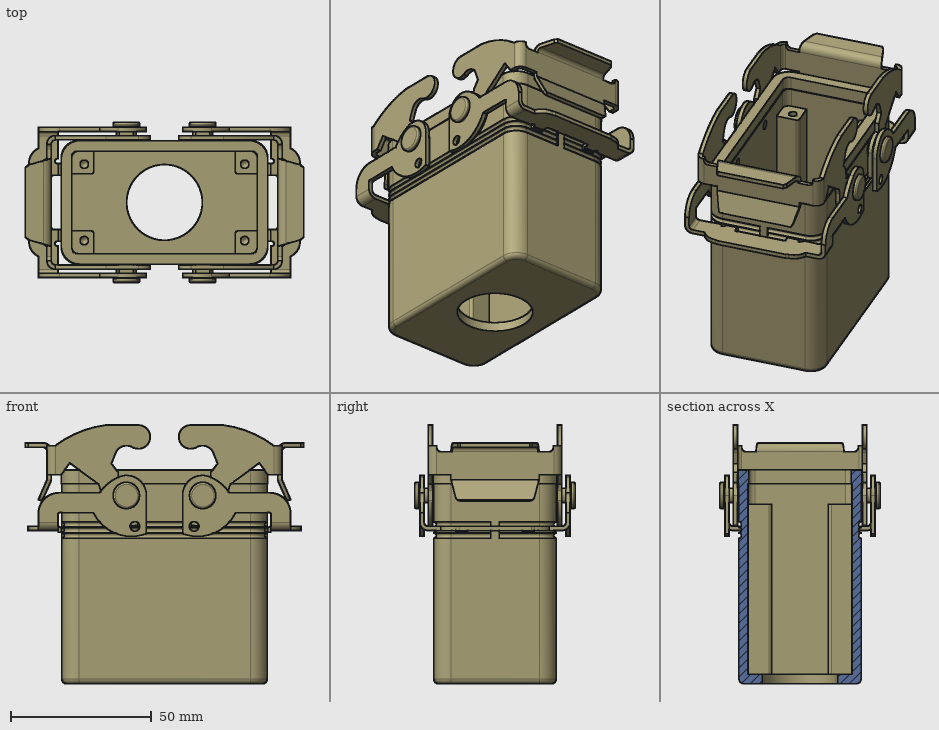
import cadquery as cq
BODY_LENGTH = 73.0
BODY_WIDTH = 43.5
BODY_CORNER = 6.0
BOTTOM_FILLET = 1.8
HOUSING_HEIGHT = 76.0
RIM_HEIGHT = 4.9
RIM_STEP = 0.2
CAVITY_LENGTH = 65.8
CAVITY_WIDTH = 36.3
CAVITY_CORNER = 2.2
CAVITY_STEP = 0.3
FLOOR = 3.5
CABLE_HOLE_DIAMETER = 26.8

POST_TOP = 63.8
POST_INNER_X = 25.1
POST_INNER_Y = 10.1
POST_CORNER = 1.0
POST_OVERLAP = 1.0
SCREW_X = 28.5
SCREW_Y = 13.6
SCREW_DIAMETER = 3.0
SCREW_DEPTH = 11.9
SCREW_TIP = 0.9

GROOVE_TOP = 57.6
GROOVE_COUNT = 3
GROOVE_PITCH = 2.0
GROOVE_RADIUS = 0.9
GROOVE_RIB_WIDTH = 2.9

SHEET = 1.6
BEND = 3.0
PIN_X = 13.6
PIN_Z = 66.9
PIN_DIAMETER = 3.2
SHANK_WIDTH = 7.1
SHANK_HEIGHT = 5.1
HEAD_DIAMETER = 9.4
HEAD_HEIGHT = 1.5
HEAD_FILLET = 0.7
HEAD_Y = 28.5

CLIP_Y = 23.8
CLIP_X = 41.8
CLIP_BOTTOM = 74.2
CLIP_SHOULDER = 84.6
CLIP_EDGE = 82.4
CLIP_TOP = 91.9
HOOK_TIP_X = 9.3
HOOK_TIP_RADIUS = 4.3
HOOK_SLOPE_END_X = 20.9
NECK_X = 16.4
FOOT_INNER_X = 9.5
FOOT_OUTER_X = 22.7
FOOT_BOTTOM = 56.4
SCOOP_HALF_WIDTH = 20.7
SCOOP_CORNER = 1.6

TONGUE_TIP_X = 49.5
TONGUE_TOP = 85.6
TONGUE_HALF_WIDTH = 15.6
TONGUE_CORNER_X = 48.4
TONGUE_CORNER_Y = 13.3
TONGUE_TIP_HALF_WIDTH = 12.4
LOWER_TONGUE_FOLD = 72.5
LOWER_TONGUE_TIP_X = 44.8
LOWER_TONGUE_TIP_HALF_WIDTH = 13.7
LOWER_TONGUE_BOTTOM = 64.9
LOWER_TONGUE_CORNER = 2.0

LEVER_Y = 26.7
LEVER_ARM_X = 44.8
LEVER_ARM_INNER_X = 37.8
LEVER_BOTTOM = 54.4
LEVER_ARM_TOP = 67.9
LEVER_ARM_UNDERSIDE = 60.8
LEVER_ARM_RADIUS = 7.4
LEVER_INNER_CORNER = 0.5
LEVER_EDGE_X = 6.4
LEVER_SHOULDER_X = 23.1
LEVER_HEEL_X = 25.2
LEVER_EDGE_BOTTOM = 53.3
LEVER_EYE_RADIUS = PIN_X - LEVER_EDGE_X
LEVER_HOLE_X = 10.5
LEVER_HOLE_Z = 55.9
LEVER_HOLE_DIAMETER = 3.4

HANDLE_TIP_X = 48.5
HANDLE_TIP_HALF_WIDTH = 12.9
HANDLE_BULGE_HALF_WIDTH = 19.2
HANDLE_SLOT_X = 40.2
HANDLE_SLOT_HALF_WIDTH = 9.6
HANDLE_SLOT_CORNER = 0.8
TAB_TIP_X = 36.6
TAB_WIDTH = 4.3
TAB_DROP = 0.6
RELIEF_DIAMETER = 1.6
RELIEF_X = 37.3


def rounded_block(length, width, bottom, top, corner):
    """Upright block centred on the Z axis, with rounded vertical edges."""
    block = cq.Workplane("XY").workplane(offset=bottom).rect(length, width).extrude(top - bottom)
    return block.edges("|Z").fillet(corner)


def across(outline, half_width):
    """Extrude an XZ outline equally to both sides of the XZ plane."""
    return outline.extrude(half_width, both=True)


def box(x0, x1, y0, y1, z0, z1):
    """Box between two positions along each axis."""
    return cq.Workplane("XY").box(x1 - x0, y1 - y0, z1 - z0, centered=False).translate((x0, y0, z0))


def make_seal_grooves():
    """Half-round grooves round the body, interrupted by a plain rib in the middle of each end."""
    grooves = cq.Workplane("XY")
    for index in range(GROOVE_COUNT):
        height = GROOVE_TOP - (index + 0.5) * GROOVE_PITCH
        path = rounded_block(BODY_LENGTH, BODY_WIDTH, height, HOUSING_HEIGHT, BODY_CORNER)
        path = path.faces("<Z").wires()
        section = cq.Workplane("YZ", origin=(0, BODY_WIDTH / 2, height)).circle(GROOVE_RADIUS)
        grooves = grooves.union(section.sweep(path))
    rib = box(-BODY_LENGTH, BODY_LENGTH, -GROOVE_RIB_WIDTH / 2, GROOVE_RIB_WIDTH / 2, 0, HOUSING_HEIGHT)
    return grooves.cut(rib)


def make_posts():
    """Screw posts in the four corners of the cavity."""
    posts = cq.Workplane("XY")
    for side_x in (-1, 1):
        for side_y in (-1, 1):
            length = CAVITY_LENGTH / 2 + POST_OVERLAP - POST_INNER_X
            width = CAVITY_WIDTH / 2 + POST_OVERLAP - POST_INNER_Y
            inner_corner = (side_x * POST_INNER_X, side_y * POST_INNER_Y, POST_TOP / 2)
            post = (
                cq.Workplane("XY")
                .center(side_x * (POST_INNER_X + length / 2), side_y * (POST_INNER_Y + width / 2))
                .rect(length, width)
                .extrude(POST_TOP)
                .edges(cq.NearestToPointSelector(inner_corner))
                .fillet(POST_CORNER)
            )
            posts = posts.union(post)
    return posts


def make_screw_holes():
    """Blind holes with conical tips in the posts."""
    bottom = POST_TOP - SCREW_DEPTH
    profile = (
        cq.Workplane("XZ")
        .polyline([
            (0, POST_TOP),
            (SCREW_DIAMETER / 2, POST_TOP),
            (SCREW_DIAMETER / 2, bottom),
            (0, bottom - SCREW_TIP),
        ])
        .close()
        .revolve(360, (0, 0, 0), (0, 1, 0))
    )
    holes = cq.Workplane("XY")
    for x in (-SCREW_X, SCREW_X):
        for y in (-SCREW_Y, SCREW_Y):
            holes = holes.union(profile.translate((x, y, 0)))
    return holes


def make_housing():
    rim_bottom = HOUSING_HEIGHT - RIM_HEIGHT
    body = rounded_block(BODY_LENGTH, BODY_WIDTH, 0, rim_bottom, BODY_CORNER)
    body = body.faces("<Z").edges().fillet(BOTTOM_FILLET)
    rim = rounded_block(BODY_LENGTH + 2 * RIM_STEP, BODY_WIDTH + 2 * RIM_STEP,
                        rim_bottom, HOUSING_HEIGHT, BODY_CORNER + RIM_STEP)
    outside = body.cut(make_seal_grooves()).union(rim)

    mouth = rounded_block(CAVITY_LENGTH, CAVITY_WIDTH, FLOOR, HOUSING_HEIGHT, CAVITY_CORNER)
    cavity = rounded_block(CAVITY_LENGTH + 2 * CAVITY_STEP, CAVITY_WIDTH + 2 * CAVITY_STEP,
                           FLOOR, rim_bottom, CAVITY_CORNER + CAVITY_STEP)
    cavity = cavity.union(mouth).cut(make_posts()).union(make_screw_holes())
    cable_hole = cq.Workplane("XY").circle(CABLE_HOLE_DIAMETER / 2).extrude(FLOOR)
    pin_holes = (
        cq.Workplane("XZ")
        .pushPoints([(-PIN_X, PIN_Z), (PIN_X, PIN_Z)])
        .circle(PIN_DIAMETER / 2)
        .extrude(BODY_WIDTH, both=True)
    )
    return outside.cut(cavity).cut(cable_hole).cut(pin_holes)


def make_clip_sides():
    """U-shaped sheet cut to the hook outline."""
    top = CLIP_TOP
    outer = box(-CLIP_X, 0, -CLIP_Y, CLIP_Y, 0, top).edges("|Z and <X").fillet(BEND)
    inner = box(-CLIP_X + SHEET, 0, -CLIP_Y + SHEET, CLIP_Y - SHEET, 0, top)
    inner = inner.edges("|Z and <X").fillet(BEND - SHEET)
    tip_z = top - HOOK_TIP_RADIUS
    outline = (
        cq.Workplane("XZ")
        .moveTo(-CLIP_X, CLIP_BOTTOM)
        .lineTo(-CLIP_X, CLIP_SHOULDER)
        .lineTo(-CLIP_X + BEND, CLIP_SHOULDER)
        .threePointArc((-30.5, 89.4), (-HOOK_SLOPE_END_X, top))
        .lineTo(-HOOK_TIP_X, top)
        .threePointArc((-HOOK_TIP_X + HOOK_TIP_RADIUS, tip_z), (-HOOK_TIP_X, tip_z - HOOK_TIP_RADIUS))
        .lineTo(-11.0, 83.7)
        .threePointArc((-14.1, 84.5), (-17.2, 82.2))
        .lineTo(-18.8, 78.2)
        .lineTo(-NECK_X, 75.1)
        .lineTo(-NECK_X, 71.5)
        .threePointArc((-11.7, 70.3), (-FOOT_INNER_X, PIN_Z))
        .lineTo(-FOOT_INNER_X, FOOT_BOTTOM)
        .threePointArc((-18.8, 58.5), (-FOOT_OUTER_X, 65.2))
        .lineTo(-FOOT_OUTER_X, 68.7)
        .lineTo(-23.4, 70.9)
        .lineTo(-33.65, 78.4)
        .lineTo(-36.7, CLIP_BOTTOM)
        .close()
    )
    return outer.cut(inner).intersect(across(outline, CLIP_Y))


def make_scoop():
    """Lowered stretch of the clip's back edge, between the two bends."""
    scoop = box(-CLIP_X, -CLIP_X + SHEET, -SCOOP_HALF_WIDTH, SCOOP_HALF_WIDTH, CLIP_EDGE, CLIP_TOP)
    return scoop.edges("|X and <Z").fillet(SCOOP_CORNER)


def make_upper_tongue():
    """Tapered tongue that bends outwards from the top of the clip's back."""
    inner_x = -CLIP_X + SHEET
    outline = (
        cq.Workplane("XZ")
        .moveTo(inner_x, CLIP_EDGE - SHEET)
        .lineTo(inner_x, TONGUE_TOP - BEND)
        .radiusArc((inner_x - BEND, TONGUE_TOP), -BEND)
        .lineTo(-TONGUE_TIP_X, TONGUE_TOP)
        .lineTo(-TONGUE_TIP_X, TONGUE_TOP - SHEET)
        .lineTo(inner_x - BEND, TONGUE_TOP - SHEET)
        .radiusArc((-CLIP_X, TONGUE_TOP - BEND), BEND - SHEET)
        .lineTo(-CLIP_X, CLIP_EDGE - SHEET)
        .close()
    )
    plan = (
        cq.Workplane("XY")
        .workplane(offset=CLIP_EDGE - SHEET)
        .moveTo(inner_x, 0)
        .lineTo(inner_x, TONGUE_HALF_WIDTH)
        .lineTo(-TONGUE_CORNER_X, TONGUE_CORNER_Y)
        .lineTo(-TONGUE_TIP_X, TONGUE_TIP_HALF_WIDTH)
        .lineTo(-TONGUE_TIP_X, 0)
        .mirrorX()
        .extrude(CLIP_TOP - CLIP_EDGE)
    )
    return across(outline, TONGUE_HALF_WIDTH).intersect(plan)


def make_lower_tongue():
    """Tapered tongue that leans outwards below the clip's back."""
    inner_x = -CLIP_X + SHEET
    outline = (
        cq.Workplane("XZ")
        .moveTo(-CLIP_X, CLIP_BOTTOM)
        .lineTo(-CLIP_X, LOWER_TONGUE_FOLD)
        .lineTo(-LOWER_TONGUE_TIP_X, 65.4)
        .lineTo(-43.4, LOWER_TONGUE_BOTTOM)
        .lineTo(inner_x, 72.2)
        .lineTo(inner_x, CLIP_BOTTOM)
        .close()
    )
    face = (
        cq.Workplane("YZ")
        .polyline([
            (-TONGUE_HALF_WIDTH, CLIP_BOTTOM),
            (TONGUE_HALF_WIDTH, CLIP_BOTTOM),
            (TONGUE_HALF_WIDTH, LOWER_TONGUE_FOLD),
            (LOWER_TONGUE_TIP_HALF_WIDTH, LOWER_TONGUE_BOTTOM),
            (-LOWER_TONGUE_TIP_HALF_WIDTH, LOWER_TONGUE_BOTTOM),
            (-TONGUE_HALF_WIDTH, LOWER_TONGUE_FOLD),
        ])
        .close()
        .extrude(-TONGUE_TIP_X)
        .edges("|X and <Z")
        .fillet(LOWER_TONGUE_CORNER)
    )
    return across(outline, TONGUE_HALF_WIDTH).intersect(face)


def make_clip():
    return make_clip_sides().cut(make_scoop()).union(make_upper_tongue()).union(make_lower_tongue())


def make_lever_sides():
    """Flat eye plates with arms, one on each side."""
    bend_top = LEVER_BOTTOM + BEND
    diagonal = LEVER_ARM_RADIUS * (1 - 0.5 ** 0.5)
    outline = (
        cq.Workplane("XZ")
        .moveTo(-LEVER_ARM_X, bend_top)
        .lineTo(-LEVER_ARM_X, LEVER_ARM_TOP - LEVER_ARM_RADIUS)
        .threePointArc((-LEVER_ARM_X + diagonal, LEVER_ARM_TOP - diagonal),
                       (-LEVER_ARM_X + LEVER_ARM_RADIUS, LEVER_ARM_TOP))
        .lineTo(-LEVER_SHOULDER_X, LEVER_ARM_TOP)
        .threePointArc((-20.4, 70.9), (-16.5, 73.3))
        .threePointArc((-PIN_X, PIN_Z + LEVER_EYE_RADIUS), (-LEVER_EDGE_X, PIN_Z))
        .lineTo(-LEVER_EDGE_X, LEVER_EDGE_BOTTOM)
        .threePointArc((-11.9, 52.4), (-LEVER_HEEL_X, LEVER_ARM_UNDERSIDE))
        .lineTo(-LEVER_ARM_INNER_X + LEVER_INNER_CORNER, LEVER_ARM_UNDERSIDE)
        .radiusArc((-LEVER_ARM_INNER_X, LEVER_ARM_UNDERSIDE - LEVER_INNER_CORNER), -LEVER_INNER_CORNER)
        .lineTo(-LEVER_ARM_INNER_X, bend_top)
        .close()
    )
    hole = cq.Workplane("XZ").center(-LEVER_HOLE_X, LEVER_HOLE_Z).circle(LEVER_HOLE_DIAMETER / 2)
    inner_y = LEVER_Y - SHEET
    return across(outline, LEVER_Y).cut(across(hole, LEVER_Y)).cut(
        box(-LEVER_ARM_X, 0, -inner_y, inner_y, 0, CLIP_TOP))


def make_lever_channel():
    """Bottom of the lever, bent up at both sides."""
    top = LEVER_ARM_UNDERSIDE
    inner_y = LEVER_Y - SHEET
    outer = box(-LEVER_ARM_X, -LEVER_ARM_INNER_X, -LEVER_Y, LEVER_Y, LEVER_BOTTOM, top)
    inner = box(-LEVER_ARM_X, -LEVER_ARM_INNER_X, -inner_y, inner_y, LEVER_BOTTOM + SHEET, top)
    outer = outer.edges("|X and <Z").fillet(BEND)
    return outer.cut(inner.edges("|X and <Z").fillet(BEND - SHEET))


def make_handle():
    """Bulged handle edge, slot towards the housing and the relief cuts beside the tabs."""
    bulge = (
        cq.Workplane("XY")
        .workplane(offset=LEVER_BOTTOM)
        .moveTo(-LEVER_ARM_X, 0)
        .lineTo(-LEVER_ARM_X, HANDLE_BULGE_HALF_WIDTH)
        .threePointArc((-47.2, 17.1), (-48.2, 13.9))
        .lineTo(-HANDLE_TIP_X, HANDLE_TIP_HALF_WIDTH)
        .lineTo(-HANDLE_TIP_X, 0)
        .mirrorX()
        .extrude(SHEET)
    )
    slot = box(-HANDLE_SLOT_X, 0, -HANDLE_SLOT_HALF_WIDTH, HANDLE_SLOT_HALF_WIDTH,
               LEVER_BOTTOM, LEVER_BOTTOM + SHEET)
    slot = slot.edges("|Z and <X").fillet(HANDLE_SLOT_CORNER)
    relief_y = HANDLE_SLOT_HALF_WIDTH + TAB_WIDTH + RELIEF_DIAMETER / 2
    relief = (
        cq.Workplane("XY")
        .workplane(offset=LEVER_BOTTOM)
        .pushPoints([(-RELIEF_X, -relief_y), (-RELIEF_X, relief_y)])
        .slot2D(RELIEF_DIAMETER * 2, RELIEF_DIAMETER)
        .extrude(SHEET)
    )
    return make_lever_channel().union(bulge).cut(slot).cut(relief)


def make_tabs():
    """Spring tabs that lean down towards the housing."""
    tab = (
        cq.Workplane("XZ")
        .polyline([
            (-LEVER_ARM_INNER_X, LEVER_BOTTOM + SHEET),
            (-TAB_TIP_X, LEVER_BOTTOM + SHEET - TAB_DROP),
            (-TAB_TIP_X, LEVER_BOTTOM - TAB_DROP),
            (-LEVER_ARM_INNER_X, LEVER_BOTTOM - TAB_DROP),
        ])
        .close()
        .extrude(-TAB_WIDTH)
        .translate((0, HANDLE_SLOT_HALF_WIDTH, 0))
    )
    return tab.union(tab.mirror("XZ"))


def make_lever():
    return make_handle().union(make_tabs()).union(make_lever_sides())


def pin_cylinder(diameter, start, end):
    """Cylinder on the pivot axis of the first latch, between two Y positions."""
    disc = cq.Workplane("XZ", origin=(-PIN_X, start, PIN_Z)).circle(diameter / 2)
    return disc.extrude(start - end)


def make_pin():
    """Pivot pin on the +Y side: stem in the housing wall, flat-sided shank through both sheets, head."""
    wall_inside = CAVITY_WIDTH / 2 + CAVITY_STEP
    wall_outside = BODY_WIDTH / 2
    head_seat = HEAD_Y - HEAD_HEIGHT
    stem = pin_cylinder(PIN_DIAMETER, wall_inside, wall_outside)
    flats = box(-CLIP_X, 0, 0, HEAD_Y, PIN_Z - SHANK_HEIGHT / 2, PIN_Z + SHANK_HEIGHT / 2)
    shank = pin_cylinder(SHANK_WIDTH, wall_outside, head_seat).intersect(flats)
    head = pin_cylinder(HEAD_DIAMETER, head_seat, HEAD_Y).faces(">Y").edges().fillet(HEAD_FILLET)
    return stem.union(shank).union(head)


def make_latch(turn):
    """Clip and lever riveted together by two pins; the first latch sits on the -X end."""
    pin = make_pin()
    latch = make_clip().union(make_lever()).union(pin).union(pin.mirror("XZ"))
    return latch.rotate((0, 0, 0), (0, 0, 1), turn)


housing = make_housing()
latches = [make_latch(turn) for turn in (0, 180)]
result = cq.Compound.makeCompound([housing.val(), *[latch.val() for latch in latches]])